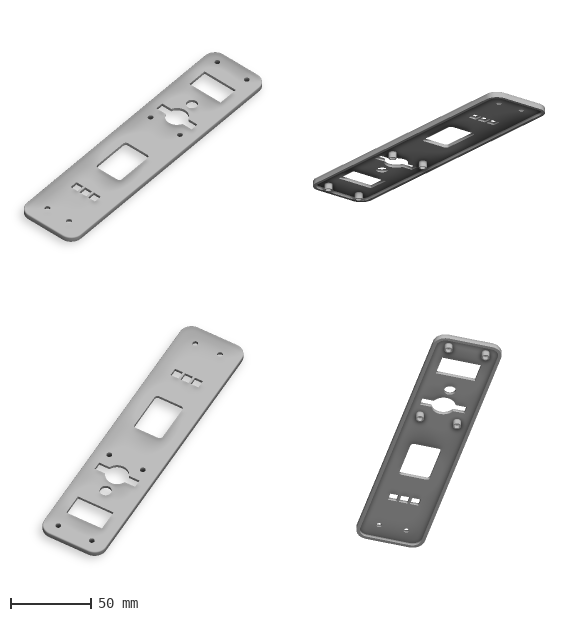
import cadquery as cq

PLATE_WIDTH = 44.0
PLATE_LENGTH = 187.3
PLATE_HEIGHT = 4.0
CORNER_RADIUS = 8.0
TOP_EDGE_RADIUS = 1.0
WALL = 2.0
CEILING_Z = PLATE_HEIGHT - WALL

STANDOFF_DIAMETER = 5.0
STANDOFF_PROJECTION = 2.0
SCREW_HOLE_DIAMETER = 3.5
STANDOFF_HALF_SPACING = 12.0
STANDOFF_ROWS_Y = (21.3, 85.5)

LOWER_HOLE_HALF_SPACING = 8.8
LOWER_HOLE_Y = -81.5

DISPLAY_WIDTH = 25.5
DISPLAY_HEIGHT = 14.6
DISPLAY_Y = 66.9

ROUND_HOLE_DIAMETER = 7.5
ROUND_HOLE_Y = 47.0

KEYHOLE_DIAMETER = 15.0
KEYHOLE_SLOT_WIDTH = 28.8
KEYHOLE_SLOT_HEIGHT = 5.6
KEYHOLE_Y = 32.5

WINDOW_WIDTH = 19.8
WINDOW_HEIGHT = 28.8
WINDOW_CORNER_RADIUS = 2.0
WINDOW_Y = -19.7

SQUARE_COUNT = 3
SQUARE_SIZE = 5.6
SQUARE_PITCH = (WINDOW_WIDTH - SQUARE_SIZE) / (SQUARE_COUNT - 1)
SQUARES_Y = -55.0

standoff_points = [
    (side * STANDOFF_HALF_SPACING, y) for y in STANDOFF_ROWS_Y for side in (-1, 1)
]
lower_hole_points = [(side * LOWER_HOLE_HALF_SPACING, LOWER_HOLE_Y) for side in (-1, 1)]
square_points = [
    ((i - (SQUARE_COUNT - 1) / 2) * SQUARE_PITCH, SQUARES_Y) for i in range(SQUARE_COUNT)
]


def rounded_block(width, length, height, corner_radius):
    """Block standing on Z = 0 with rounded vertical corners."""
    block = cq.Workplane("XY").box(width, length, height, centered=(True, True, False))
    return block.edges("|Z").fillet(corner_radius)


def make_plate():
    """Plate with a rounded top edge, hollowed from below to an even wall."""
    plate = rounded_block(PLATE_WIDTH, PLATE_LENGTH, PLATE_HEIGHT, CORNER_RADIUS)
    plate = plate.faces(">Z").edges().fillet(TOP_EDGE_RADIUS)
    recess = rounded_block(
        PLATE_WIDTH - 2 * WALL, PLATE_LENGTH - 2 * WALL, CEILING_Z, CORNER_RADIUS - WALL
    )
    return plate.cut(recess)


def cylinders(points, diameter, top_z):
    """Cylinders from the standoff ends up to the given height."""
    return (
        cq.Workplane("XY", origin=(0, 0, -STANDOFF_PROJECTION))
        .pushPoints(points)
        .circle(diameter / 2)
        .extrude(STANDOFF_PROJECTION + top_z)
    )


def make_standoffs():
    """Solid cylinders hanging from the ceiling; the screw holes are cut later."""
    return cylinders(standoff_points, STANDOFF_DIAMETER, CEILING_Z)


def round_cutter(points, diameter):
    """Cylinders through the plate and standoffs at the given points."""
    return cylinders(points, diameter, PLATE_HEIGHT)


def rectangular_cutter(points, width, height):
    """Rectangular prisms through the plate at the given points."""
    return cq.Workplane("XY").pushPoints(points).rect(width, height).extrude(PLATE_HEIGHT)


def keyhole_cutter():
    """Round opening joined with the slot that crosses it."""
    center = [(0, KEYHOLE_Y)]
    slot = rectangular_cutter(center, KEYHOLE_SLOT_WIDTH, KEYHOLE_SLOT_HEIGHT)
    return round_cutter(center, KEYHOLE_DIAMETER).union(slot)


def window_cutter():
    """Window prism with rounded vertical corners."""
    window = rectangular_cutter([(0, WINDOW_Y)], WINDOW_WIDTH, WINDOW_HEIGHT)
    return window.edges("|Z").fillet(WINDOW_CORNER_RADIUS)


cutters = [
    round_cutter(standoff_points + lower_hole_points, SCREW_HOLE_DIAMETER),
    round_cutter([(0, ROUND_HOLE_Y)], ROUND_HOLE_DIAMETER),
    rectangular_cutter([(0, DISPLAY_Y)], DISPLAY_WIDTH, DISPLAY_HEIGHT),
    keyhole_cutter(),
    window_cutter(),
    rectangular_cutter(square_points, SQUARE_SIZE, SQUARE_SIZE),
]

result = make_plate().union(make_standoffs())
for cutter in cutters:
    result = result.cut(cutter)